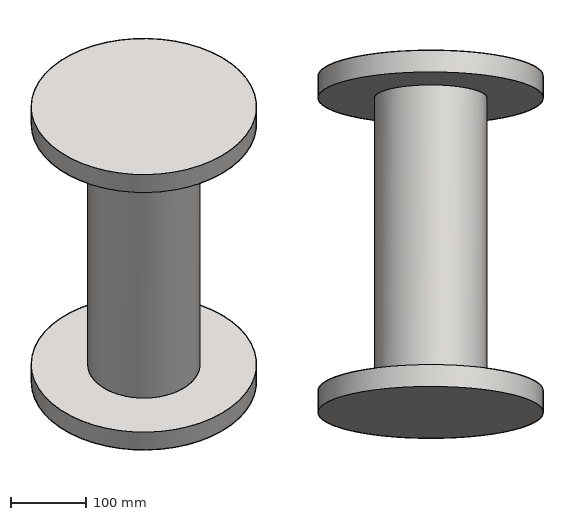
import cadquery as cq

total_height = 460.0
flange_diameter = 300.0
flange_thickness = 30.0
core_diameter = flange_diameter / 2
half_height = total_height / 2


def make_flange(bottom_z):
    """Plain disc whose lower face is at bottom_z."""
    return (
        cq.Workplane("XY")
        .workplane(offset=bottom_z)
        .circle(flange_diameter / 2)
        .extrude(flange_thickness)
    )


def make_core():
    """Solid cylinder running from one flange to the other."""
    return (
        cq.Workplane("XY")
        .workplane(offset=-half_height + flange_thickness)
        .circle(core_diameter / 2)
        .extrude(total_height - 2 * flange_thickness)
    )


lower_flange = make_flange(-half_height)
upper_flange = make_flange(half_height - flange_thickness)
result = make_core().union(lower_flange).union(upper_flange)